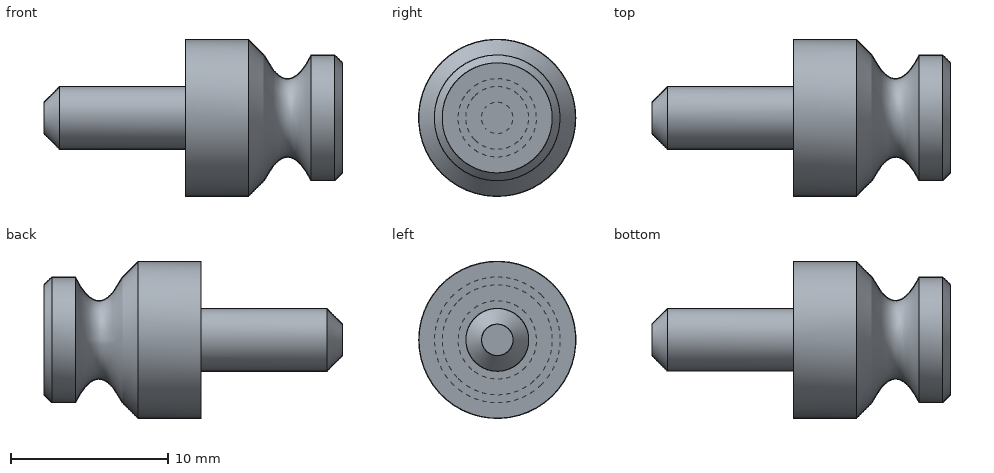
import cadquery as cq

length = 19.0
module = length / 19

pin_radius = 2 * module
body_radius = 5 * module
head_radius = 4 * module
neck_radius = 2.5 * module

pin_chamfer = module
body_chamfer = module
head_chamfer = module / 2

x_tip = -length / 2
x_body = x_tip + 9 * module
x_neck_start = x_body + 5 * module
x_neck_end = x_neck_start + 3 * module
x_neck_middle = (x_neck_start + x_neck_end) / 2
x_end = x_tip + length

half_section = (
    cq.Workplane("XY")
    .moveTo(x_tip, 0)
    .lineTo(x_tip, pin_radius - pin_chamfer)
    .lineTo(x_tip + pin_chamfer, pin_radius)
    .lineTo(x_body, pin_radius)
    .lineTo(x_body, body_radius)
    .lineTo(x_neck_start - body_chamfer, body_radius)
    .lineTo(x_neck_start, body_radius - body_chamfer)
    .spline([(x_neck_middle, neck_radius), (x_neck_end, head_radius)], includeCurrent=True)
    .lineTo(x_end - head_chamfer, head_radius)
    .lineTo(x_end, head_radius - head_chamfer)
    .lineTo(x_end, 0)
    .close()
)

result = half_section.revolve(360, (0, 0, 0), (1, 0, 0))